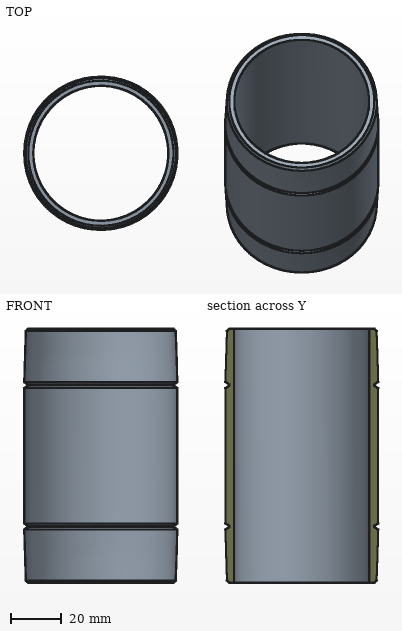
import cadquery as cq

length = 100.0
outer_diameter = 60.3
bore_diameter = 53.0
band_length = 21.0
taper = 1 / 16
end_chamfer = 1.0
groove_width = 2.4
groove_depth = 1.6
groove_floor_width = 0.3

half_length = length / 2
outer_radius = outer_diameter / 2
bore_radius = bore_diameter / 2

band_bottom = half_length - band_length
groove_middle = band_bottom - groove_width / 2
barrel_top = band_bottom - groove_width
band_top = half_length - end_chamfer

groove_radius = outer_radius - groove_depth
band_top_radius = outer_radius - (band_top - band_bottom) * taper / 2
end_radius = band_top_radius - end_chamfer

half_section = [
    (-outer_radius, barrel_top),
    (-groove_radius, groove_middle - groove_floor_width / 2),
    (-groove_radius, groove_middle + groove_floor_width / 2),
    (-outer_radius, band_bottom),
    (-band_top_radius, band_top),
    (-end_radius, half_length),
    (-bore_radius, half_length),
]

mirrored_section = [(x, -z) for x, z in reversed(half_section)]
wall_section = half_section + mirrored_section

result = cq.Workplane("XZ").polyline(wall_section).close().revolve(360, (0, 0, 0), (0, 1, 0))